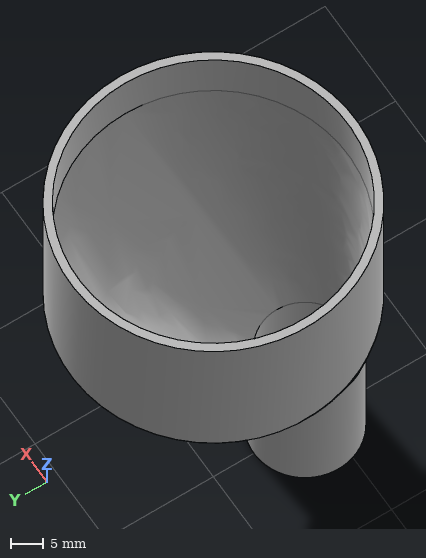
import cadquery as cq

total_height = 90.0
spout_height = 25.0
cup_height = 30.0

mouth_depth = 10.0

cup_outer_diameter = 53.0
cup_inner_diameter = 50.0
spout_outer_diameter = 19.0
spout_inner_diameter = 16.0

spout_y = -(cup_outer_diameter - spout_outer_diameter) / 2


def funnel_body(cup_diameter, cup_height, spout_diameter, spout_height):
    """Solid offset funnel: straight spout, slanted taper and straight cup."""
    taper_height = total_height - spout_height - cup_height
    spout = (
        cq.Workplane("XY")
        .center(0, spout_y)
        .circle(spout_diameter / 2)
        .extrude(spout_height)
    )
    taper = (
        cq.Workplane("XY", origin=(0, 0, spout_height))
        .center(0, spout_y)
        .circle(spout_diameter / 2)
        .workplane(offset=taper_height)
        .center(0, -spout_y)
        .circle(cup_diameter / 2)
        .loft(ruled=True)
    )
    cup = (
        cq.Workplane("XY", origin=(0, 0, spout_height + taper_height))
        .circle(cup_diameter / 2)
        .extrude(cup_height)
    )
    return spout.union(taper).union(cup)


outer_body = funnel_body(cup_outer_diameter, cup_height, spout_outer_diameter, spout_height)
inner_passage = funnel_body(cup_inner_diameter, mouth_depth, spout_inner_diameter, spout_height)
result = outer_body.cut(inner_passage)